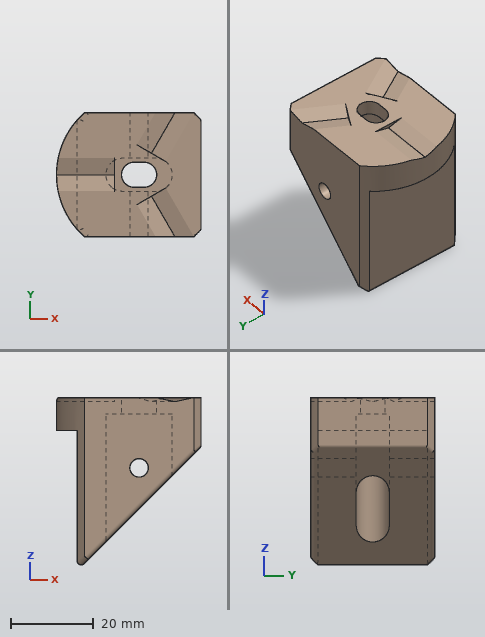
import cadquery as cq
import math

height = 40.5
body_width = 30.0
outer_radius = 20.0
head_thickness = 8.0
bottom_fillet = 1.0
cross_hole_diameter = 4.4
cross_hole_depth = 17.0
slot_length = 8.45
slot_width = 6.0
slot_depth = 4.0
pocket_length = 16.05
pocket_width = 8.0
groove_width = 8.0
groove_depth = 1.0
groove_inner_radius = 6.0
groove_count = 3

half_width = body_width / 2
sharp_height = height + math.sqrt(2) * bottom_fillet
short_side_height = sharp_height - body_width


def make_body():
    """Square column with corners rounded by the outer radius, cut at 45 degrees and rounded below."""
    column = cq.Workplane("XY").circle(outer_radius).extrude(-sharp_height)
    wedge = (
        cq.Workplane("XZ")
        .moveTo(-half_width, 0)
        .lineTo(half_width, 0)
        .lineTo(half_width, -short_side_height)
        .lineTo(-half_width, -sharp_height)
        .close()
        .extrude(half_width, both=True)
    )
    sloped_face = cq.selectors.DirectionMinMaxSelector(cq.Vector(1, 0, -1))
    return column.intersect(wedge).faces(sloped_face).edges().fillet(bottom_fillet)


def make_head():
    """Flat plate with a round nose overhanging the body on the -X side."""
    nose_end = -math.sqrt(outer_radius**2 - half_width**2)
    return (
        cq.Workplane("XY")
        .moveTo(0, -half_width)
        .lineTo(0, half_width)
        .lineTo(nose_end, half_width)
        .threePointArc((-outer_radius, 0), (nose_end, -half_width))
        .close()
        .extrude(-head_thickness)
    )


def make_groove(angle):
    """Radial V-groove cutter running outward from its inner end."""
    return (
        cq.Workplane("YZ", origin=(groove_inner_radius, 0, 0))
        .moveTo(-groove_width / 2, 0)
        .lineTo(0, -groove_depth)
        .lineTo(groove_width / 2, 0)
        .close()
        .extrude(outer_radius)
        .rotate((0, 0, 0), (0, 0, 1), angle)
    )


slot = cq.Workplane("XY").slot2D(slot_length, slot_width).extrude(-slot_depth)
pocket = (
    cq.Workplane("XY", origin=(0, 0, -slot_depth))
    .slot2D(pocket_length, pocket_width)
    .extrude(-sharp_height)
)
cross_hole = (
    cq.Workplane("XZ")
    .center(0, -cross_hole_depth)
    .circle(cross_hole_diameter / 2)
    .extrude(half_width, both=True)
)

result = make_body().union(make_head()).cut(slot).cut(pocket).cut(cross_hole).clean()
for index in range(groove_count):
    result = result.cut(make_groove(180 + index * 360 / groove_count))